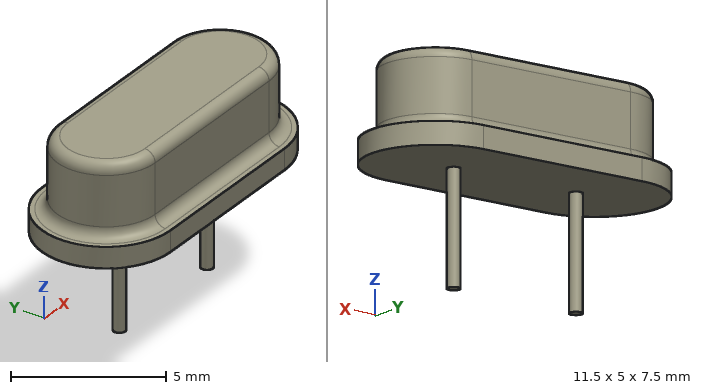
import cadquery as cq

end_spacing = 6.5
flange_width = 5.0
flange_thickness = 0.8
can_width = 3.8
can_top = 3.5
edge_radius = 0.4
lead_diameter = 0.45
lead_spacing = 5.0
lead_length = 4.0
selection_margin = 0.1


def oblong(width, height):
    """Upright prism along X with full-round ends, standing on Z = 0."""
    return cq.Workplane("XY").slot2D(end_spacing + width, width).extrude(height)


def make_body():
    """Flange and can, with the can's top edge and foot rounded."""
    can = oblong(can_width, can_top).faces(">Z").edges().fillet(edge_radius)
    body = oblong(flange_width, flange_thickness).union(can)
    reach_x = (end_spacing + can_width) / 2 + selection_margin
    reach_y = can_width / 2 + selection_margin
    foot_edges = cq.selectors.BoxSelector(
        (-reach_x, -reach_y, flange_thickness - selection_margin),
        (reach_x, reach_y, flange_thickness + selection_margin),
        boundingbox=True,
    )
    return body.edges(foot_edges).fillet(edge_radius)


def make_leads():
    """Two round leads hanging from the flange underside."""
    lead_centers = [(-lead_spacing / 2, 0), (lead_spacing / 2, 0)]
    return cq.Workplane("XY").pushPoints(lead_centers).circle(lead_diameter / 2).extrude(-lead_length)


result = make_body().union(make_leads())